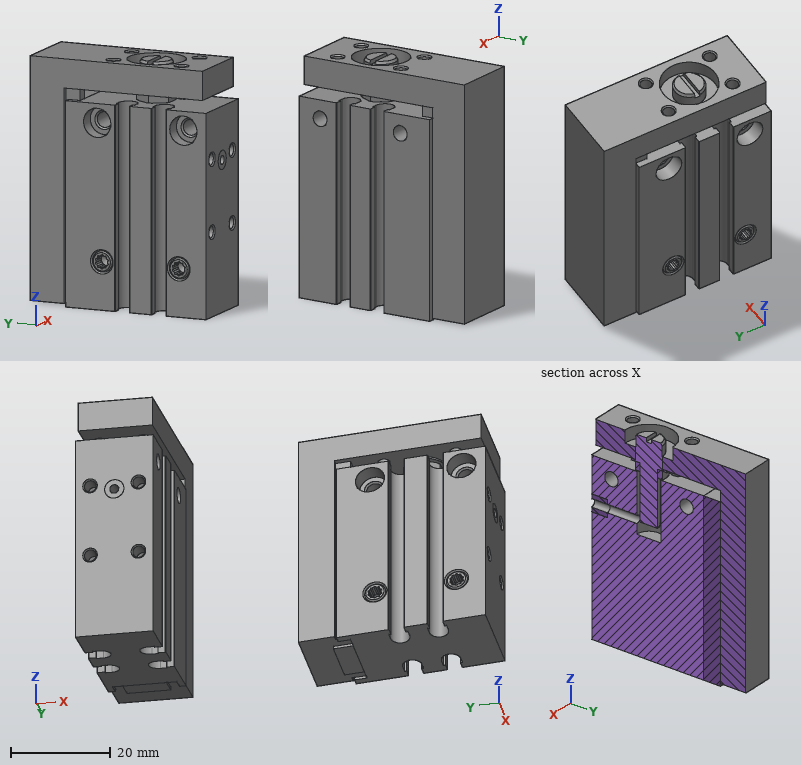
import cadquery as cq
import math


HOUSING_WIDTH = 16.0
HOUSING_DEPTH = 31.0
HOUSING_HEIGHT = 42.5
SIDE_X = -HOUSING_WIDTH / 2
AXIS_Y = 14.5

TABLE_WIDTH = 15.3
TABLE_FRONT_Y = 0.95
TABLE_BACK_Y = 39.0
TABLE_TOP_Z = 51.0
PLATE_THICKNESS = 6.0
PLATE_BOTTOM_Z = TABLE_TOP_Z - PLATE_THICKNESS
LEG_THICKNESS = 7.5
LEG_FRONT_Y = TABLE_BACK_Y - LEG_THICKNESS
LEG_BOTTOM_Z = 0.6

GUIDE_WIDTH = 13.25
RAIL_WIDTH = 9.05
GUIDE_FRONT_Y = 28.4
RAIL_BACK_Y = 32.55

RECESS_DIAMETER = 12.0
RECESS_DEPTH = 3.0
HEAD_DIAMETER = 6.8
HEAD_CHAMFER_RADIAL = 0.35
HEAD_CHAMFER_HEIGHT = 0.55
SLOT_WIDTH = 1.15
SLOT_DEPTH = 0.9
FLANGE_DIAMETER = 9.05
FLANGE_THICKNESS = 0.4
FLANGE_BOTTOM_Z = PLATE_BOTTOM_Z - FLANGE_THICKNESS
ROD_DIAMETER = 4.6
ROD_END_Z = 31.0
ROD_END_CHAMFER = 0.2
BORE_DIAMETER = 6.0
BORE_END_Z = 28.05
NUT_ACROSS_FLATS = 7.0
NUT_ACROSS_CORNERS = NUT_ACROSS_FLATS / math.cos(math.radians(30))
NUT_HEIGHT = 2.0
NUT_BOTTOM_Z = FLANGE_BOTTOM_Z - NUT_HEIGHT
NUT_CHAMFER_RADIAL = 0.25
NUT_CHAMFER_HEIGHT = 0.15

DRILL_TIP_RATIO = 0.6

M3_DRILL = 2.45
M3_CHAMFER = (3.0 - M3_DRILL) / 2
FRONT_HOLE_X = 5.0
FRONT_HOLE_LOW_Z = 17.5
FRONT_HOLE_PITCH_Z = 15.0
FRONT_HOLE_DEPTH = 4.0
PLATE_HOLE_X = 4.5
PLATE_HOLE_OFFSET_Y = 7.5

MOUNT_HOLE_YS = (5.0, 24.0)
MOUNT_HOLE_Z = HOUSING_HEIGHT - 4.0
MOUNT_DRILL = 3.25
MOUNT_THREAD = 4.0
COUNTERBORE_DIAMETER = 6.0
COUNTERBORE_DEPTH = 3.3

GROOVE_OFFSET_Y = 4.05
GROOVE_MOUTH_WIDTH = 3.1
GROOVE_MOUTH_CHAMFER = 0.15
GROOVE_MOUTH_DEPTH = 1.65
GROOVE_ROUND_DIAMETER = 4.0
GROOVE_DEPTH = 5.0

PORT_YS = (6.0, 23.0)
PORT_Z = 10.0
PORT_DIAMETER = 5.0
PORT_LENGTH = 4.0
SCREW_DIAMETER = 4.4
SCREW_CHAMFER = 0.3
SOCKET_DIAMETER = 2.55
SOCKET_DEPTH = 2.55
FLUTE_COUNT = 10
FLUTE_DIAMETER = 0.35

PLUG_Z = 31.4
PLUG_DIAMETER = 4.0
PLUG_LENGTH = 4.0
VENT_DIAMETER = 1.85

INTO_FRONT = (0, 1, 0)
INTO_SIDE = (1, 0, 0)
DOWN = (0, 0, -1)
UP = (0, 0, 1)


def box(x_range, y_range, z_range):
    """Box spanning the given (low, high) pairs."""
    low, high = zip(x_range, y_range, z_range)
    size = [top - bottom for bottom, top in zip(low, high)]
    return cq.Workplane("XY").box(*size, centered=False).translate(low)


def centred_box(width, y_range, z_range):
    """Box centred on X = 0."""
    return box((-width / 2, width / 2), y_range, z_range)


def revolve(profile, start, direction):
    """Solid turned from (radius, depth) points about the line from start along direction."""
    plane = cq.Plane(origin=start, xDir=direction, normal=perpendicular(direction))
    points = [(depth, radius) for radius, depth in profile]
    return cq.Workplane(plane).polyline(points).close().revolve(360, (0, 0), (1, 0))


def perpendicular(direction):
    """An axis at right angles to an axis-parallel direction."""
    x, y, z = direction
    return (z, x, y)


def cylinder(diameter, length, start, direction):
    radius = diameter / 2
    return revolve([(0, 0), (radius, 0), (radius, length), (0, length)], start, direction)


def drilled_hole(diameter, depth, start, direction, chamfer=0):
    """Blind hole with a conical end and, if chamfer is given, a 45 degree mouth."""
    radius = diameter / 2
    profile = [
        (0, 0),
        (radius, 0),
        (radius, depth),
        (0, depth + radius * DRILL_TIP_RATIO),
    ]
    hole = revolve(profile, start, direction)
    if chamfer > 0:
        cone = [(0, 0), (radius + chamfer, 0), (0, radius + chamfer)]
        hole = hole.union(revolve(cone, start, direction))
    return hole


def sensor_groove(centre_y):
    """Keyhole-shaped groove along Z, open to the -X side."""
    mouth = GROOVE_MOUTH_WIDTH / 2
    lip = mouth + GROOVE_MOUTH_CHAMFER
    radius = GROOVE_ROUND_DIAMETER / 2
    inner_x = SIDE_X + GROOVE_MOUTH_DEPTH
    floor_x = SIDE_X + GROOVE_DEPTH
    chamfer_x = SIDE_X + GROOVE_MOUTH_CHAMFER
    return (
        cq.Workplane("XY")
        .moveTo(SIDE_X, centre_y - lip)
        .lineTo(chamfer_x, centre_y - mouth)
        .lineTo(inner_x, centre_y - mouth)
        .lineTo(inner_x, centre_y - radius)
        .lineTo(floor_x - radius, centre_y - radius)
        .threePointArc((floor_x, centre_y), (floor_x - radius, centre_y + radius))
        .lineTo(inner_x, centre_y + radius)
        .lineTo(inner_x, centre_y + mouth)
        .lineTo(chamfer_x, centre_y + mouth)
        .lineTo(SIDE_X, centre_y + lip)
        .close()
        .extrude(HOUSING_HEIGHT)
    )


def mounting_hole(y):
    """Counterbored hole across the housing, with a thread chamfer at the counterbore floor."""
    drill = MOUNT_DRILL / 2
    thread = MOUNT_THREAD / 2
    bore = COUNTERBORE_DIAMETER / 2
    profile = [
        (0, 0),
        (bore, 0),
        (bore, COUNTERBORE_DEPTH),
        (thread, COUNTERBORE_DEPTH),
        (drill, COUNTERBORE_DEPTH + thread - drill),
        (drill, HOUSING_WIDTH),
        (0, HOUSING_WIDTH),
    ]
    return revolve(profile, (SIDE_X, y, MOUNT_HOLE_Z), INTO_SIDE)


def port_hole(y):
    """Chamfered hole that takes one port screw."""
    screw = SCREW_DIAMETER / 2
    mouth = PORT_DIAMETER / 2
    profile = [(0, 0), (mouth, 0), (screw, mouth - screw), (screw, PORT_LENGTH), (0, PORT_LENGTH)]
    return revolve(profile, (SIDE_X, y, PORT_Z), INTO_SIDE)


def make_port_screw(y):
    """Chamfered plug with a blind fluted socket."""
    start = (SIDE_X, y, PORT_Z)
    radius = SCREW_DIAMETER / 2
    profile = [
        (0, 0),
        (radius - SCREW_CHAMFER, 0),
        (radius, SCREW_CHAMFER),
        (radius, PORT_LENGTH),
        (0, PORT_LENGTH),
    ]
    screw = revolve(profile, start, INTO_SIDE)
    screw = screw.cut(drilled_hole(SOCKET_DIAMETER, SOCKET_DEPTH, start, INTO_SIDE))

    flute_start = (SIDE_X, y, PORT_Z + SOCKET_DIAMETER / 2)
    flute = cylinder(FLUTE_DIAMETER, SOCKET_DEPTH, flute_start, INTO_SIDE)
    axis_end = (SIDE_X + PORT_LENGTH, y, PORT_Z)
    for index in range(FLUTE_COUNT):
        screw = screw.cut(flute.rotate(start, axis_end, index * 360 / FLUTE_COUNT))
    return screw


def make_housing():
    body = centred_box(HOUSING_WIDTH, (0, HOUSING_DEPTH), (0, HOUSING_HEIGHT))
    body = body.cut(centred_box(GUIDE_WIDTH, (GUIDE_FRONT_Y, HOUSING_DEPTH), (0, HOUSING_HEIGHT)))

    for side in (-1, 1):
        groove = sensor_groove(AXIS_Y + side * GROOVE_OFFSET_Y)
        body = body.cut(groove).cut(groove.mirror("YZ"))

    for y in MOUNT_HOLE_YS:
        body = body.cut(mounting_hole(y))
    for y in PORT_YS:
        body = body.cut(port_hole(y))
    for x in (-FRONT_HOLE_X, FRONT_HOLE_X):
        for z in (FRONT_HOLE_LOW_Z, FRONT_HOLE_LOW_Z + FRONT_HOLE_PITCH_Z):
            hole = drilled_hole(M3_DRILL, FRONT_HOLE_DEPTH, (x, 0, z), INTO_FRONT, M3_CHAMFER)
            body = body.cut(hole)

    bore_top = (0, AXIS_Y, HOUSING_HEIGHT)
    body = body.cut(cylinder(BORE_DIAMETER, HOUSING_HEIGHT - BORE_END_Z, bore_top, DOWN))
    vent_start = (0, 0, PLUG_Z)
    body = body.cut(cylinder(PLUG_DIAMETER, PLUG_LENGTH, vent_start, INTO_FRONT))
    return body.cut(cylinder(VENT_DIAMETER, AXIS_Y, vent_start, INTO_FRONT))


def make_table():
    table_y = (TABLE_FRONT_Y, TABLE_BACK_Y)
    leg_y = (LEG_FRONT_Y, TABLE_BACK_Y)
    body = centred_box(TABLE_WIDTH, table_y, (PLATE_BOTTOM_Z, TABLE_TOP_Z))
    body = body.union(centred_box(TABLE_WIDTH, leg_y, (LEG_BOTTOM_Z, TABLE_TOP_Z)))

    travel_z = (LEG_BOTTOM_Z, PLATE_BOTTOM_Z)
    body = body.union(centred_box(GUIDE_WIDTH, (GUIDE_FRONT_Y, LEG_FRONT_Y), travel_z))
    body = body.cut(centred_box(RAIL_WIDTH, (GUIDE_FRONT_Y, RAIL_BACK_Y), travel_z))

    axis_top = (0, AXIS_Y, TABLE_TOP_Z)
    body = body.cut(cylinder(RECESS_DIAMETER, RECESS_DEPTH, axis_top, DOWN))
    body = body.cut(cylinder(HEAD_DIAMETER, PLATE_THICKNESS, axis_top, DOWN))

    for x in (-PLATE_HOLE_X, PLATE_HOLE_X):
        for y in (AXIS_Y - PLATE_HOLE_OFFSET_Y, AXIS_Y + PLATE_HOLE_OFFSET_Y):
            start = (x, y, TABLE_TOP_Z)
            body = body.cut(drilled_hole(M3_DRILL, PLATE_THICKNESS, start, DOWN, M3_CHAMFER))
    return body


def make_rail():
    return centred_box(RAIL_WIDTH, (GUIDE_FRONT_Y, RAIL_BACK_Y), (0, HOUSING_HEIGHT))


def make_rod():
    """Rod with a flange under the table plate and a slotted head inside the recess."""
    head = HEAD_DIAMETER / 2
    flange = FLANGE_DIAMETER / 2
    rod = ROD_DIAMETER / 2
    profile = [
        (0, ROD_END_Z),
        (rod - ROD_END_CHAMFER, ROD_END_Z),
        (rod, ROD_END_Z + ROD_END_CHAMFER),
        (rod, FLANGE_BOTTOM_Z),
        (flange, FLANGE_BOTTOM_Z),
        (flange, PLATE_BOTTOM_Z),
        (head, PLATE_BOTTOM_Z),
        (head, TABLE_TOP_Z - HEAD_CHAMFER_HEIGHT),
        (head - HEAD_CHAMFER_RADIAL, TABLE_TOP_Z),
        (0, TABLE_TOP_Z),
    ]
    body = revolve(profile, (0, AXIS_Y, 0), UP)
    slot_y = (AXIS_Y - SLOT_WIDTH / 2, AXIS_Y + SLOT_WIDTH / 2)
    return body.cut(centred_box(HEAD_DIAMETER, slot_y, (TABLE_TOP_Z - SLOT_DEPTH, TABLE_TOP_Z)))


def make_nut():
    """Hexagon nut just under the flange, with both rims chamfered."""
    start = (0, AXIS_Y, NUT_BOTTOM_Z)
    outer = NUT_ACROSS_CORNERS / 2
    rim = outer - NUT_CHAMFER_RADIAL
    envelope = [
        (0, 0),
        (rim, 0),
        (outer, NUT_CHAMFER_HEIGHT),
        (outer, NUT_HEIGHT - NUT_CHAMFER_HEIGHT),
        (rim, NUT_HEIGHT),
        (0, NUT_HEIGHT),
    ]
    hexagon = cq.Workplane(cq.Plane(start)).polygon(6, NUT_ACROSS_CORNERS).extrude(NUT_HEIGHT)
    nut = hexagon.intersect(revolve(envelope, start, UP))
    return nut.cut(cylinder(ROD_DIAMETER, NUT_HEIGHT, start, UP))


def make_vent_plug():
    start = (0, 0, PLUG_Z)
    plug = cylinder(PLUG_DIAMETER, PLUG_LENGTH, start, INTO_FRONT)
    return plug.cut(cylinder(VENT_DIAMETER, PLUG_LENGTH, start, INTO_FRONT))


housing = make_housing()
table = make_table()
rail = make_rail()
rod = make_rod()
nut = make_nut()
vent_plug = make_vent_plug()
port_screws = [make_port_screw(y) for y in PORT_YS]

result = cq.Compound.makeCompound([
    housing.val(),
    table.val(),
    rail.val(),
    rod.val(),
    nut.val(),
    vent_plug.val(),
    *[screw.val() for screw in port_screws],
])